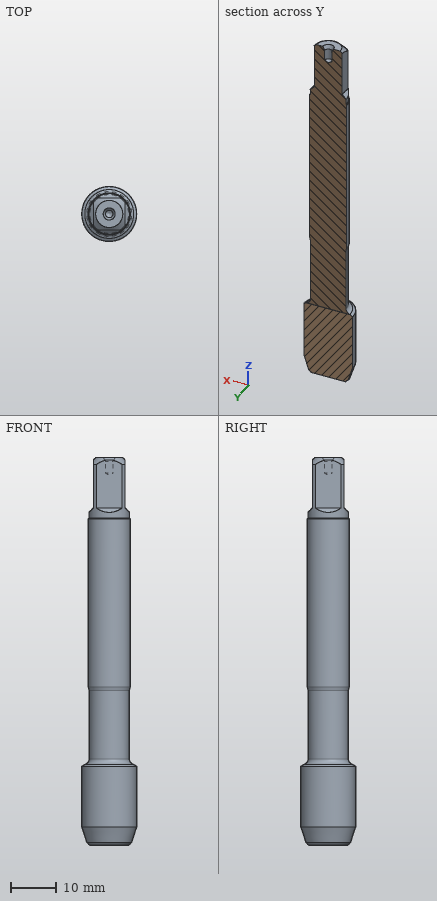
import cadquery as cq
import math

TOTAL_LENGTH = 85.85
TIP_BEVEL_TOP = 0.7
LEAD_TOP = 4.1
THREAD_CYLINDER_TOP = 17.5
THREAD_TOP = 17.9
NECK_TAPER_BOTTOM = 34.25
SHANK_BOTTOM = 35.1
SHANK_TOP = 72.5

TIP_DIAMETER = 8.6
LEAD_DIAMETER = 10.0
THREAD_DIAMETER = 12.2
THREAD_TOP_DIAMETER = 10.8
NECK_DIAMETER = 8.9
SHANK_DIAMETER = 9.4
DRIVE_DIAMETER = 9.0
DRIVE_TOP_DIAMETER = 6.0

NECK_FILLET_RADIUS = 1.3

SQUARE_WIDTH = 7.0
FLAT_BOTTOM = 74.7

HOLE_DIAMETER = 1.6
HOLE_MOUTH_DIAMETER = 2.7
HOLE_DEPTH = 3.4
COUNTERSINK_ANGLE = 60.0
DRILL_POINT_ANGLE = 120.0

SHANK_TOP_BEVEL = (SHANK_DIAMETER - DRIVE_DIAMETER) / 2
DRIVE_BEVEL = (DRIVE_DIAMETER - DRIVE_TOP_DIAMETER) / 2
NECK_FILLET_RUN = (THREAD_TOP_DIAMETER - NECK_DIAMETER) / 2
NECK_FILLET_SWEEP = math.acos(1 - NECK_FILLET_RUN / NECK_FILLET_RADIUS)
NECK_FILLET_TOP = THREAD_TOP + NECK_FILLET_RADIUS * math.sin(NECK_FILLET_SWEEP)


def revolve_about_z(profile):
    """Turn a closed (radius, height) outline on the XZ plane about the Z axis."""
    return profile.close().revolve(360, (0, 0, 0), (0, 1, 0))


def make_thread_section():
    """Solid thread envelope with a tapered lead, a bevelled tip and a bevelled top."""
    return revolve_about_z(
        cq.Workplane("XZ")
        .lineTo(TIP_DIAMETER / 2, 0)
        .lineTo(LEAD_DIAMETER / 2, TIP_BEVEL_TOP)
        .lineTo(THREAD_DIAMETER / 2, LEAD_TOP)
        .lineTo(THREAD_DIAMETER / 2, THREAD_CYLINDER_TOP)
        .lineTo(THREAD_TOP_DIAMETER / 2, THREAD_TOP)
        .lineTo(0, THREAD_TOP)
    )


def make_shank_blank():
    """Turned neck, shank and drive end, with a concave flare where it meets the thread section."""
    half_sweep = NECK_FILLET_SWEEP / 2
    fillet_middle = (
        NECK_DIAMETER / 2 + NECK_FILLET_RADIUS * (1 - math.cos(half_sweep)),
        NECK_FILLET_TOP - NECK_FILLET_RADIUS * math.sin(half_sweep),
    )
    return revolve_about_z(
        cq.Workplane("XZ")
        .moveTo(0, THREAD_TOP)
        .lineTo(THREAD_TOP_DIAMETER / 2, THREAD_TOP)
        .threePointArc(fillet_middle, (NECK_DIAMETER / 2, NECK_FILLET_TOP))
        .lineTo(NECK_DIAMETER / 2, NECK_TAPER_BOTTOM)
        .lineTo(SHANK_DIAMETER / 2, SHANK_BOTTOM)
        .lineTo(SHANK_DIAMETER / 2, SHANK_TOP - SHANK_TOP_BEVEL)
        .lineTo(DRIVE_DIAMETER / 2, SHANK_TOP)
        .lineTo(DRIVE_DIAMETER / 2, TOTAL_LENGTH - DRIVE_BEVEL)
        .lineTo(DRIVE_TOP_DIAMETER / 2, TOTAL_LENGTH)
        .lineTo(0, TOTAL_LENGTH)
    )


def make_flat_cutter():
    """Material beyond one drive flat, with a 45 degree run-out at its lower end."""
    inside = SQUARE_WIDTH / 2
    outside = SHANK_DIAMETER / 2
    return (
        cq.Workplane("XZ")
        .moveTo(inside, FLAT_BOTTOM)
        .lineTo(outside, FLAT_BOTTOM - (outside - inside))
        .lineTo(outside, TOTAL_LENGTH)
        .lineTo(inside, TOTAL_LENGTH)
        .close()
        .extrude(SHANK_DIAMETER / 2, both=True)
    )


def make_centre_hole():
    """Blind drilled hole with a conical countersink and a conical bottom."""
    countersink_run = (HOLE_MOUTH_DIAMETER - HOLE_DIAMETER) / 2
    countersink_depth = countersink_run / math.tan(math.radians(COUNTERSINK_ANGLE / 2))
    hole_bottom = TOTAL_LENGTH - HOLE_DEPTH
    point_depth = HOLE_DIAMETER / 2 / math.tan(math.radians(DRILL_POINT_ANGLE / 2))
    return revolve_about_z(
        cq.Workplane("XZ")
        .moveTo(0, hole_bottom - point_depth)
        .lineTo(HOLE_DIAMETER / 2, hole_bottom)
        .lineTo(HOLE_DIAMETER / 2, TOTAL_LENGTH - countersink_depth)
        .lineTo(HOLE_MOUTH_DIAMETER / 2, TOTAL_LENGTH)
        .lineTo(0, TOTAL_LENGTH)
    )


def make_shank():
    """Shank with four drive flats and the centre hole."""
    shank = make_shank_blank()
    flat_cutter = make_flat_cutter()
    for angle in range(0, 360, 90):
        shank = shank.cut(flat_cutter.rotate((0, 0, 0), (0, 0, 1), angle))
    return shank.cut(make_centre_hole())


thread_section = make_thread_section()
shank = make_shank()

result = cq.Compound.makeCompound([thread_section.val(), shank.val()])